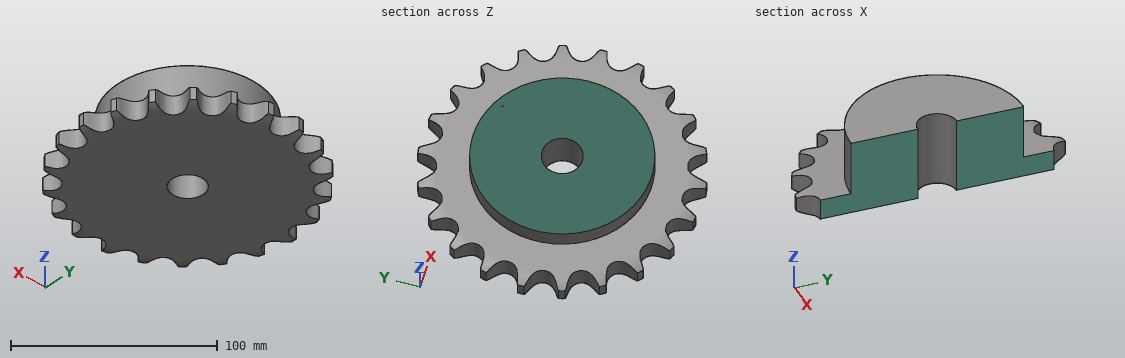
import cadquery as cq
import math

tooth_count = 22
chain_pitch = 19.0
roller_diameter = 12.0
outer_diameter = 141.0
plate_thickness = 11.1
hub_diameter = 90.0
total_height = 40.0
bore_diameter = 20.0
shoulder_radius = 62.0
relief_radius = chain_pitch
seat_clearance = 0.038

outer_radius = outer_diameter / 2
half_pitch_angle = math.pi / tooth_count
pitch_radius = chain_pitch / 2 / math.sin(half_pitch_angle)
seat_radius = 0.5025 * roller_diameter + seat_clearance
seat_end_angle = math.radians(35 + 60 / tooth_count)
working_arc_angle = math.radians(18 - 56 / tooth_count)
flank_angle = seat_end_angle - working_arc_angle
working_centre_offset = 0.8 * roller_diameter
topping_centre_offset = 1.4 * roller_diameter
working_radius = seat_radius + working_centre_offset


def offset(point, distance, angle):
    """Point reached from another by moving a distance along an angle."""
    return (point[0] + distance * math.cos(angle), point[1] + distance * math.sin(angle))


def half_gap_points():
    """Right half of one tooth gap, from the seat bottom to the sharp tooth point (gap opens along +Y)."""
    roller_centre = (0, pitch_radius)
    seat_bottom = offset(roller_centre, seat_radius, -math.pi / 2)
    seat_end = offset(roller_centre, seat_radius, -seat_end_angle)

    working_centre = offset(roller_centre, working_centre_offset, math.pi - seat_end_angle)
    working_middle = offset(working_centre, working_radius, -(seat_end_angle + flank_angle) / 2)
    working_end = offset(working_centre, working_radius, -flank_angle)

    topping_centre = offset(roller_centre, topping_centre_offset, -half_pitch_angle)
    to_topping_x = topping_centre[0] - working_end[0]
    to_topping_y = topping_centre[1] - working_end[1]
    topping_radius = to_topping_x * math.cos(flank_angle) - to_topping_y * math.sin(flank_angle)
    start_angle = math.pi - flank_angle
    topping_start = offset(topping_centre, topping_radius, start_angle)

    past_centreline = topping_centre_offset - chain_pitch / 2
    end_angle = math.pi - half_pitch_angle - math.acos(past_centreline / topping_radius)
    topping_middle = offset(topping_centre, topping_radius, (start_angle + end_angle) / 2)
    tooth_point = offset(topping_centre, topping_radius, end_angle)
    return [
        seat_bottom, seat_end,
        working_middle, working_end,
        topping_start, topping_middle, tooth_point,
    ]


def rotated(point, angle):
    """Point turned about the sprocket axis."""
    return offset((0, 0), math.hypot(*point), math.atan2(point[1], point[0]) + angle)


def mirrored(point):
    """Point reflected across the centreline of the gap."""
    return (-point[0], point[1])


def tooth_prism():
    """Plate-thick prism with the full ring of sharp-pointed teeth."""
    right_half = half_gap_points()
    left_half = [mirrored(point) for point in right_half]
    outline = cq.Workplane("XY").moveTo(*right_half[-1])
    for gap in range(tooth_count):
        turn = gap * 2 * half_pitch_angle
        (
            seat_bottom, right_seat_end,
            right_working_middle, right_working_end,
            right_topping_start, right_topping_middle, _,
        ) = [rotated(point, turn) for point in right_half]
        (
            _, left_seat_end,
            left_working_middle, left_working_end,
            left_topping_start, left_topping_middle, left_tooth_point,
        ) = [rotated(point, turn) for point in left_half]
        outline = (
            outline
            .threePointArc(right_topping_middle, right_topping_start)
            .lineTo(*right_working_end)
            .threePointArc(right_working_middle, right_seat_end)
            .threePointArc(seat_bottom, left_seat_end)
            .threePointArc(left_working_middle, left_working_end)
            .lineTo(*left_topping_start)
            .threePointArc(left_topping_middle, left_tooth_point)
        )
    return outline.close().extrude(plate_thickness)


def plate_blank():
    """Disc whose rim is relieved by arcs tangent to both flat faces."""
    relief_width = outer_radius - shoulder_radius
    relief_depth = relief_radius - math.sqrt(relief_radius**2 - relief_width**2)
    middle_angle = math.asin(relief_width / relief_radius) / 2
    middle_radius = shoulder_radius + relief_radius * math.sin(middle_angle)
    middle_depth = relief_radius * (1 - math.cos(middle_angle))
    return (
        cq.Workplane("XZ")
        .lineTo(shoulder_radius, 0)
        .threePointArc((middle_radius, middle_depth), (outer_radius, relief_depth))
        .lineTo(outer_radius, plate_thickness - relief_depth)
        .threePointArc((middle_radius, plate_thickness - middle_depth), (shoulder_radius, plate_thickness))
        .lineTo(0, plate_thickness)
        .close()
        .revolve(360, (0, 0, 0), (0, 1, 0))
    )


toothed_plate = plate_blank().intersect(tooth_prism())
hub = cq.Workplane("XY").circle(hub_diameter / 2).extrude(total_height)
bore = cq.Workplane("XY").circle(bore_diameter / 2).extrude(total_height)
result = toothed_plate.union(hub).cut(bore)